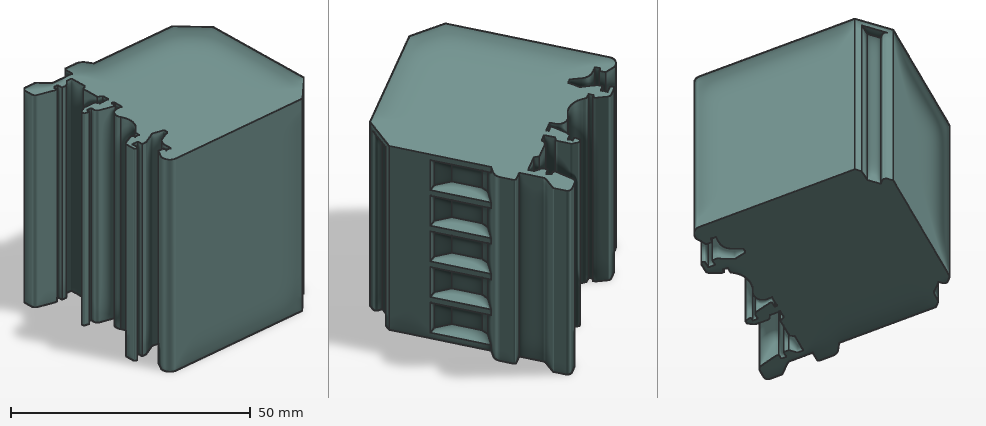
import cadquery as cq
import math

length = 51.6
width = 42.5
depth = 46.4
wall_left = 2.5
back_chamfer = 6.05
end_wall = 1.6

rail_face = 10.5
hook_step = 5.35
catch_level = 6.55

bump_top = 18.1
bump_slope = math.radians(32)
bump_bottom = 12.0

window_count = 5
window_depth = 2.9
shelf_rise = 0.95
window_back = 31.4
entry_run = 1.25
entry_shift = 0.45
floor_back = 27.55
floor_front = 20.95
slope_meet = 19.55

lip_start = 1.3
lip_radius = 0.9
groove_depth = 1.75
groove_floor_end = 5.1
groove_mouth_end = 7.0


def rounded_outline(corners):
    """Closed wire through (x, y, radius) corners; a radius of 0 keeps the corner sharp."""
    edges = []
    ends = []
    for i, (x, y, radius) in enumerate(corners):
        corner = cq.Vector(x, y, 0)
        if radius == 0:
            ends.append((corner, corner))
            continue
        before = cq.Vector(*corners[i - 1][:2], 0)
        after = cq.Vector(*corners[(i + 1) % len(corners)][:2], 0)
        to_before = (before - corner).normalized()
        to_after = (after - corner).normalized()
        half_angle = to_before.getAngle(to_after) / 2
        start = corner + to_before * (radius / math.tan(half_angle))
        end = corner + to_after * (radius / math.tan(half_angle))
        bisector = (to_before + to_after).normalized()
        middle = corner + bisector * (radius / math.sin(half_angle) - radius)
        edges.append(cq.Edge.makeThreePointArc(start, middle, end))
        ends.append((start, end))
    for i, (start, _) in enumerate(ends):
        edges.append(cq.Edge.makeLine(ends[i - 1][1], start))
    return cq.Wire.combine(edges)[0]


def block():
    """Full-length extrusion with the rail hooks on its front side."""
    bump_corner = bump_top - wall_left * math.tan(bump_slope)
    back_and_bump = [
        (width, depth - back_chamfer, 0),
        (width - back_chamfer, depth, 0),
        (wall_left + back_chamfer, depth, 0),
        (wall_left, depth - back_chamfer, 0),
        (wall_left, bump_top, 0),
        (0, bump_corner, 2.05),
        (0, bump_bottom, 0.45),
        (wall_left, bump_bottom, 0),
    ]
    left_foot = [
        (wall_left, 6.35, 1.0),
        (0, 3.8, 0.55),
        (0, 0, 1.05),
        (3.7, 0, 1.05),
        (5.0, 4.65, 0.2),
        (5.0, hook_step, 0),
        (3.85, hook_step, 0.3),
        (3.85, catch_level, 0),
        (5.2, catch_level, 0),
        (5.2, 7.8, 0),
        (3.85, 9.15, 0.3),
        (3.85, rail_face, 0.2),
    ]
    rail_pad = [
        (8.0, rail_face, 0),
        (8.6, 9.45, 0),
        (12.95, 9.45, 0),
        (13.5, rail_face, 0),
    ]
    middle_hook = [
        (15.25, rail_face, 0),
        (15.25, 8.05, 0),
        (14.3, 7.55, 0.5),
        (14.3, 4.25, 1.05),
        (15.25, 2.8, 0.4),
        (16.05, 2.8, 0.2),
        (16.35, 4.25, 0.25),
        (15.45, 4.25, 0),
        (15.45, hook_step, 0),
        (17.1, hook_step, 0.95),
        (18.25, 9.9, 0.3),
        (16.85, 9.9, 0),
        (16.85, rail_face, 0),
    ]
    wavy_seat = [
        (19.3, rail_face, 0),
        (19.3, 5.85, 2.05),
        (25.95, 9.4, 4.7),
        (28.85, hook_step, 0.4),
        (30.2, hook_step, 0),
    ]
    right_hook = [
        (30.2, 4.25, 0),
        (29.55, 4.25, 0),
        (29.55, 3.55, 0.25),
        (30.85, 0.8, 0.95),
        (33.85, 0.8, 0.4),
        (33.85, 1.75, 0.4),
        (32.05, 1.75, 0),
        (32.05, 3.3, 0),
        (33.4, 3.3, 0),
        (33.4, 4.45, 0.3),
        (31.7, 7.7, 0.6),
        (32.3, rail_face, 0.3),
        (33.4, rail_face, 0.3),
        (35.25, catch_level, 2.75),
    ]
    right_foot = [
        (38.6, catch_level, 0),
        (38.6, hook_step, 0),
        (37.75, hook_step, 0),
        (37.75, 3.9, 0),
        (40.0, 2.65, 0.5),
        (width, 2.65, 1.95),
    ]
    outline = back_and_bump + left_foot + rail_pad + middle_hook + wavy_seat + right_hook + right_foot
    return cq.Workplane(cq.Solid.extrudeLinear(rounded_outline(outline), [], cq.Vector(0, 0, length)))


def window(z_bottom, height):
    """Cutter for one marker window with a shelf that rises inward."""
    slope_inset = (slope_meet - bump_top) / math.tan(bump_slope)
    plan = [
        (wall_left, window_back),
        (wall_left + entry_run, window_back - entry_shift),
        (wall_left + window_depth, floor_back),
        (wall_left + window_depth, floor_front),
        (wall_left + slope_inset, slope_meet),
        (wall_left, bump_top),
    ]
    side = [
        (wall_left, z_bottom),
        (wall_left + window_depth, z_bottom + shelf_rise),
        (wall_left + window_depth, z_bottom + height),
        (wall_left, z_bottom + height),
    ]
    footprint = cq.Workplane("XY").polyline(plan).close().extrude(length)
    return cq.Workplane("XZ").polyline(side).close().extrude(-depth).intersect(footprint)


def label_groove():
    """Cutter for the left label groove: rounded lip, square wall, flat floor, slanted exit."""
    back_corner = cq.Vector(wall_left + back_chamfer, depth, 0)
    chamfer_plane = cq.Plane(origin=back_corner, xDir=(-1, -1, 0), normal=(0, 0, 1))
    lip_middle = lip_radius * math.sin(math.pi / 4)
    wall = lip_start + lip_radius
    return (
        cq.Workplane(chamfer_plane)
        .moveTo(lip_start, 0)
        .threePointArc((lip_start + lip_middle, lip_radius - lip_middle), (wall, lip_radius))
        .lineTo(wall, groove_depth)
        .lineTo(groove_floor_end, groove_depth)
        .lineTo(groove_mouth_end, 0)
        .close()
        .extrude(length - end_wall)
    )


result = block()

window_pitch = (length - end_wall) / window_count
for index in range(window_count):
    result = result.cut(window(end_wall + index * window_pitch, window_pitch - end_wall))

left_groove = label_groove()
right_groove = left_groove.mirror("YZ", ((wall_left + width) / 2, 0, 0))
result = result.cut(left_groove).cut(right_groove)